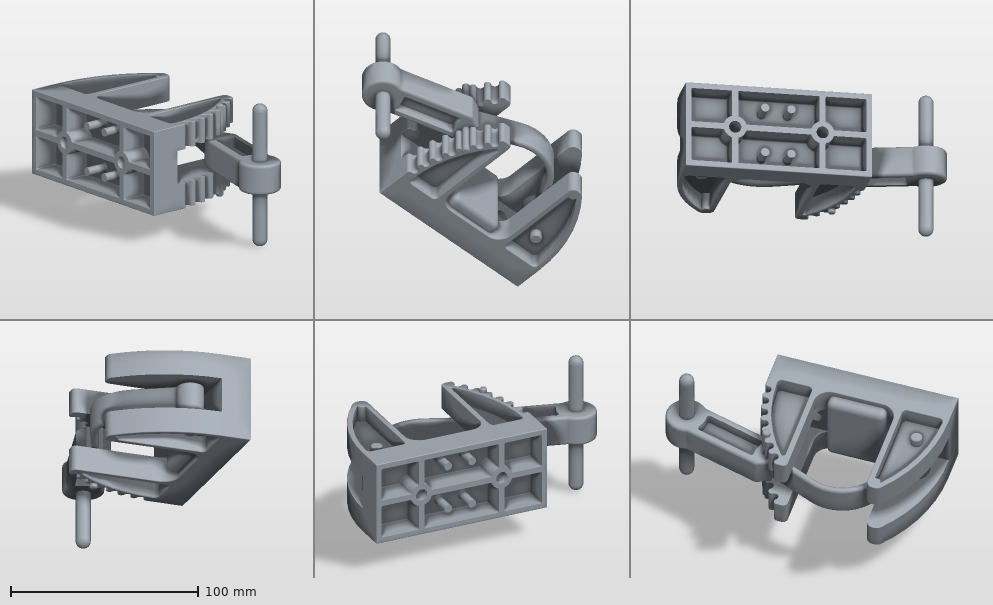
import cadquery as cq
import math

LENGTH = 101.2
HALF_WIDTH = 23.5
HEIGHT = 73.5
BASE_TOP = 16.5
GAP_HALF = 9.6
EDGE_ROUND = 0.5

CRADLE_LEFT = 28.8
CRADLE_RIGHT = 73.0
CRADLE_CORNER = 8.5
JAW_RADIUS = 83.7
JAW_ARC_Y = 17.1
LEFT_ARC_X = JAW_RADIUS
RIGHT_ARC_X = LENGTH - JAW_RADIUS
LEFT_TIP_OUTER_ROUND = 4.5
LEFT_TIP_INNER_ROUND = 3.7
RIGHT_TIP_ROUND = 2.7
JAW_POCKET_FLOOR = 14.4
JAW_WALL = 3.1
POCKET_TOP = 66.5
POCKET_CORNER = 2.4
RIGHT_POCKET_TOP_CORNER = 1.2
LEFT_POCKET_PEAK = 69.0
TIP_UNDERSIDE_ROUND = 2.2
LEFT_POCKET_RADIUS = 80.7
RIGHT_POCKET_RADIUS = 78.0

NOTCH_COUNT = 7
NOTCH_RADIUS = 2.1
NOTCH_STEP = 5.57
PITCH_RADIUS = 81.9
PITCH_CHORD = 2 * PITCH_RADIUS * math.sin(math.radians(NOTCH_STEP / 4))
TOOTH_RADIUS = PITCH_CHORD - NOTCH_RADIUS
TOP_TOOTH_ANGLE = math.degrees(math.asin((HEIGHT - TOOTH_RADIUS - JAW_ARC_Y) / PITCH_RADIUS))
TOP_NOTCH_ANGLE = TOP_TOOTH_ANGLE - NOTCH_STEP / 2
PIN_NOTCH = 2

CELL_WALL = 3.1
CELL_DEPTH = 14.1
CELL_ROUND = 0.6
RIB = 3.3
SCREW_SPACING = 47.5
SCREW_BOSS_RADIUS = 6.3
SCREW_HOLE_RADIUS = 3.3
PEG_SPACING_X = 14.2
PEG_HALF_SPACING_Z = 12.6
PEG_RADIUS = 2.2
PEG_END_Y = 1.8

PAD_LENGTH = 32.5
PAD_HALF_WIDTH = 20.4
PAD_HEIGHT = 6.6
PAD_ROUND = 3.1

STRAP_HALF_WIDTH = 8.2
STRAP_THICKNESS = 3.9
STRAP_ROUND = 1.6
ARCH_X = 51.1
ARCH_Y = 43.3
ARCH_RADIUS = 25.0
STRAP_END_DROP = 0.9
HUB_RADIUS = 7.5
HUB_BLEND = 2.2
HANDLE_HALF = 9.5
HANDLE_END_RADIUS = 11.2
HANDLE_NECK_BLEND = 3.0
SHOULDER_ALONG = 1.0
SHOULDER_BLEND = 2.4
TAPER_ALONG = -5.4
TAPER_HALF = 4.3
HANDLE_POCKET_START = 5.0
HANDLE_POCKET_END = 40.8
HANDLE_POCKET_HALF = 5.7
HANDLE_POCKET_BULGE = 1.0
HANDLE_POCKET_CORNER = 1.3
HANDLE_POCKET_DEPTH = 6.0

PIVOT_X = 14.2
PIVOT_Y = 29.2
PIVOT_RADIUS = 3.1
PIVOT_HALF = 19.3
PIVOT_CHAMFER = 0.5
LATCH_HALF = 25.6
LATCH_CHAMFER = 0.6
GRIP_X = 150 - HANDLE_END_RADIUS
GRIP_Y = 42.5
GRIP_RADIUS = 4.0
GRIP_HALF = 39.67
GRIP_DOME = 3.9


def polar(center_x, center_y, radius, angle):
    """Point at an angle in degrees on a circle."""
    a = math.radians(angle)
    return (center_x + radius * math.cos(a), center_y + radius * math.sin(a))


def rack_point(radius, angle):
    return polar(RIGHT_ARC_X, JAW_ARC_Y, radius, angle)


LATCH_X, LATCH_Y = rack_point(PITCH_RADIUS, TOP_NOTCH_ANGLE - PIN_NOTCH * NOTCH_STEP)
STRAP_END_Y = LATCH_Y - STRAP_END_DROP
SCREW_XS = [LENGTH / 2 - SCREW_SPACING / 2, LENGTH / 2 + SCREW_SPACING / 2]


def cylinder(x, y, radius, half_length):
    """Cylinder along Z, centred on the middle plane."""
    return cq.Workplane("XY").center(x, y).circle(radius).extrude(half_length, both=True)


def cylinder_along_y(points_xz, radius, y_start, y_end):
    plane = cq.Plane(origin=(0, y_start, 0), xDir=(1, 0, 0), normal=(0, 1, 0))
    points = [(x, -z) for x, z in points_xz]
    return cq.Workplane(plane).pushPoints(points).circle(radius).extrude(y_end - y_start)


def left_arc_point(radius, y):
    rise = y - JAW_ARC_Y
    return (LEFT_ARC_X - math.sqrt(radius**2 - rise**2), y)


def right_arc_point(radius, y):
    rise = y - JAW_ARC_Y
    return (RIGHT_ARC_X + math.sqrt(radius**2 - rise**2), y)


def add_rack(sketch):
    """Continue an outline down the right jaw: notches and teeth are tangent arcs on one pitch circle."""
    half_step = NOTCH_STEP / 2
    share = TOOTH_RADIUS / (TOOTH_RADIUS + NOTCH_RADIUS)
    for i in range(NOTCH_COUNT):
        angle = TOP_NOTCH_ANGLE - i * NOTCH_STEP
        notch_bottom = rack_point(PITCH_RADIUS - NOTCH_RADIUS, angle)
        notch = rack_point(PITCH_RADIUS, angle)
        ends = []
        for tooth_angle in (angle + half_step, angle - half_step):
            tooth = rack_point(PITCH_RADIUS, tooth_angle)
            ends.append(tuple(t + (n - t) * share for t, n in zip(tooth, notch)))
        tip = rack_point(PITCH_RADIUS + TOOTH_RADIUS, angle + half_step)
        sketch = sketch.threePointArc(tip, ends[0])
        sketch = sketch.threePointArc(notch_bottom, ends[1])
    return sketch


def housing_outline():
    top_tooth = rack_point(PITCH_RADIUS, TOP_TOOTH_ANGLE)
    last_tooth = rack_point(PITCH_RADIUS, TOP_NOTCH_ANGLE - (NOTCH_COUNT - 0.5) * NOTCH_STEP)
    last_tooth_tip = polar(*last_tooth, TOOTH_RADIUS, 45)
    sketch = (
        cq.Workplane("XY")
        .moveTo(0, 0)
        .lineTo(0, JAW_ARC_Y)
        .threePointArc(left_arc_point(JAW_RADIUS, HEIGHT / 2), left_arc_point(JAW_RADIUS, HEIGHT))
        .lineTo(CRADLE_LEFT, HEIGHT)
        .lineTo(CRADLE_LEFT, BASE_TOP)
        .lineTo(CRADLE_RIGHT, BASE_TOP)
        .lineTo(CRADLE_RIGHT, HEIGHT)
        .lineTo(top_tooth[0], HEIGHT)
    )
    sketch = add_rack(sketch)
    return (
        sketch.threePointArc(last_tooth_tip, polar(*last_tooth, TOOTH_RADIUS, 0))
        .lineTo(LENGTH, BASE_TOP)
        .lineTo(LENGTH, 0)
        .close()
    )


def upright_edges(body, x, y):
    """Edges along Z that pass near a point."""
    reach = 0.3
    box = cq.selectors.BoxSelector((x - reach, y - reach, -150), (x + reach, y + reach, 150))
    return body.edges("|Z").edges(box)


def housing_block():
    body = housing_outline().extrude(HALF_WIDTH, both=True)
    rounds = [
        (left_arc_point(JAW_RADIUS, HEIGHT), LEFT_TIP_OUTER_ROUND),
        ((CRADLE_LEFT, HEIGHT), LEFT_TIP_INNER_ROUND),
        ((CRADLE_LEFT, BASE_TOP), CRADLE_CORNER),
        ((CRADLE_RIGHT, BASE_TOP), CRADLE_CORNER),
        ((CRADLE_RIGHT, HEIGHT), RIGHT_TIP_ROUND),
    ]
    for (x, y), radius in rounds:
        body = upright_edges(body, x, y).fillet(radius)
    return body


def left_jaw_pocket():
    right = CRADLE_LEFT - JAW_WALL
    low = left_arc_point(LEFT_POCKET_RADIUS, BASE_TOP)
    middle = left_arc_point(LEFT_POCKET_RADIUS, HEIGHT / 2)
    peak = left_arc_point(LEFT_POCKET_RADIUS, LEFT_POCKET_PEAK)
    round_end = (peak[0] + TIP_UNDERSIDE_ROUND, POCKET_TOP)
    pocket = (
        cq.Workplane("XY", origin=(0, 0, JAW_POCKET_FLOOR))
        .moveTo(*low)
        .threePointArc(middle, peak)
        .radiusArc(round_end, -TIP_UNDERSIDE_ROUND)
        .lineTo(right, POCKET_TOP)
        .lineTo(right, BASE_TOP)
        .close()
        .extrude(HALF_WIDTH)
    )
    return pocket.edges("|Z and <Y").fillet(POCKET_CORNER)


def right_jaw_pocket():
    left = CRADLE_RIGHT + JAW_WALL
    low = right_arc_point(RIGHT_POCKET_RADIUS, BASE_TOP)
    middle = right_arc_point(RIGHT_POCKET_RADIUS, HEIGHT / 2)
    high = right_arc_point(RIGHT_POCKET_RADIUS, POCKET_TOP)
    pocket = (
        cq.Workplane("XY", origin=(0, 0, JAW_POCKET_FLOOR))
        .moveTo(left, BASE_TOP)
        .lineTo(left, POCKET_TOP)
        .lineTo(*high)
        .threePointArc(middle, low)
        .close()
        .extrude(HALF_WIDTH)
    )
    pocket = upright_edges(pocket, left, POCKET_TOP).fillet(RIGHT_POCKET_TOP_CORNER)
    return pocket.edges("|Z and <Y").fillet(POCKET_CORNER)


def peg_points():
    xs = [LENGTH / 2 - PEG_SPACING_X / 2, LENGTH / 2 + PEG_SPACING_X / 2]
    return [(x, z) for x in xs for z in (-PEG_HALF_SPACING_Z, PEG_HALF_SPACING_Z)]


def base_cells():
    """Six cells open at the underside, left between the outer walls, the ribs and the screw bosses."""
    cells = cq.Workplane("XY").box(
        LENGTH - 2 * CELL_WALL, CELL_DEPTH, 2 * (HALF_WIDTH - CELL_WALL)
    ).translate((LENGTH / 2, CELL_DEPTH / 2, 0))
    ribs = cq.Workplane("XY").box(LENGTH, HEIGHT, RIB).translate((LENGTH / 2, 0, 0))
    for x in SCREW_XS:
        ribs = ribs.union(cq.Workplane("XY").box(RIB, HEIGHT, 2 * HALF_WIDTH).translate((x, 0, 0)))
    bosses = cylinder_along_y([(x, 0) for x in SCREW_XS], SCREW_BOSS_RADIUS, 0, HEIGHT)
    cells = cells.cut(ribs).cut(bosses)
    cells = cells.edges("|Y").fillet(CELL_ROUND)
    cells = cells.cut(cylinder_along_y(peg_points(), PEG_RADIUS, 0, HEIGHT))
    return cells.faces(">Y").edges().fillet(CELL_ROUND)


def make_housing():
    body = housing_block()
    for pocket in (left_jaw_pocket(), right_jaw_pocket()):
        body = body.cut(pocket).cut(pocket.mirror("XY"))
    for side in (">Z", "<Z"):
        body = body.faces(side).edges().fillet(EDGE_ROUND)
    gap = cq.Workplane("XY").box(LENGTH, HEIGHT, 2 * GAP_HALF)
    body = body.cut(gap.translate((LENGTH / 2, BASE_TOP + HEIGHT / 2, 0)))
    body = body.cut(base_cells())
    body = body.cut(cylinder_along_y([(x, 0) for x in SCREW_XS], SCREW_HOLE_RADIUS, 0, HEIGHT))
    body = body.cut(cylinder_along_y(peg_points(), PEG_RADIUS, 0, PEG_END_Y))
    return body.cut(cylinder(PIVOT_X, PIVOT_Y, PIVOT_RADIUS, PIVOT_HALF))


def make_pad():
    block = cq.Workplane("XY").box(PAD_LENGTH, PAD_HEIGHT, 2 * PAD_HALF_WIDTH)
    block = block.translate((LENGTH / 2, BASE_TOP + PAD_HEIGHT / 2, 0))
    block = block.edges("|Y").fillet(PAD_ROUND)
    return block.faces(">Y").edges().fillet(PAD_ROUND)


def tangent_angle(x, y, side):
    """Angle on the arch circle where the line from a point touches it."""
    distance = math.hypot(x - ARCH_X, y - ARCH_Y)
    toward = math.degrees(math.atan2(y - ARCH_Y, x - ARCH_X))
    return toward + side * math.degrees(math.acos(ARCH_RADIUS / distance))


def strap_band():
    """Constant-thickness band: straight from the pivot, round the arch, straight to the latch pin."""
    start = tangent_angle(PIVOT_X, PIVOT_Y, -1)
    end = tangent_angle(LATCH_X, STRAP_END_Y, 1)
    start = start % 360
    middle = (start + end) / 2
    half = STRAP_THICKNESS / 2
    outer = ARCH_RADIUS + half
    inner = ARCH_RADIUS - half
    return (
        cq.Workplane("XY")
        .moveTo(*polar(PIVOT_X, PIVOT_Y, half, start))
        .lineTo(*polar(ARCH_X, ARCH_Y, outer, start))
        .threePointArc(polar(ARCH_X, ARCH_Y, outer, middle), polar(ARCH_X, ARCH_Y, outer, end))
        .lineTo(*polar(LATCH_X, STRAP_END_Y, half, end))
        .lineTo(*polar(LATCH_X, STRAP_END_Y, -half, end))
        .lineTo(*polar(ARCH_X, ARCH_Y, inner, end))
        .threePointArc(polar(ARCH_X, ARCH_Y, inner, middle), polar(ARCH_X, ARCH_Y, inner, start))
        .lineTo(*polar(PIVOT_X, PIVOT_Y, -half, start))
        .close()
        .extrude(STRAP_HALF_WIDTH)
    )


def handle_plane(z):
    """Plane at the latch pin whose local X runs along the handle to the grip pin."""
    along = (GRIP_X - LATCH_X, GRIP_Y - LATCH_Y, 0)
    return cq.Plane(origin=(LATCH_X, LATCH_Y, z), xDir=along, normal=(0, 0, 1))


def handle_block():
    reach = math.hypot(GRIP_X - LATCH_X, GRIP_Y - LATCH_Y)
    block = (
        cq.Workplane(handle_plane(0))
        .moveTo(TAPER_ALONG, -TAPER_HALF)
        .lineTo(SHOULDER_ALONG, -HANDLE_HALF)
        .lineTo(reach, -HANDLE_HALF)
        .lineTo(reach, HANDLE_HALF)
        .lineTo(SHOULDER_ALONG, HANDLE_HALF)
        .lineTo(TAPER_ALONG, TAPER_HALF)
        .close()
        .extrude(STRAP_HALF_WIDTH)
    )
    end = cq.Workplane("XY").center(GRIP_X, GRIP_Y).circle(HANDLE_END_RADIUS).extrude(STRAP_HALF_WIDTH)
    neck = reach - math.sqrt(HANDLE_END_RADIUS**2 - HANDLE_HALF**2)
    block = block.union(end)
    for along, radius in ((SHOULDER_ALONG, SHOULDER_BLEND), (neck, HANDLE_NECK_BLEND)):
        for side in (-1, 1):
            point = handle_plane(0).toWorldCoords((along, side * HANDLE_HALF, 0))
            block = upright_edges(block, point.x, point.y).fillet(radius)
    return block


def handle_pocket():
    tip_half = HANDLE_POCKET_HALF
    pocket = (
        cq.Workplane(handle_plane(STRAP_HALF_WIDTH - HANDLE_POCKET_DEPTH))
        .moveTo(HANDLE_POCKET_START, -tip_half)
        .lineTo(HANDLE_POCKET_END, -tip_half)
        .threePointArc((HANDLE_POCKET_END - HANDLE_POCKET_BULGE, 0), (HANDLE_POCKET_END, tip_half))
        .lineTo(HANDLE_POCKET_START, tip_half)
        .threePointArc((HANDLE_POCKET_START + HANDLE_POCKET_BULGE, 0), (HANDLE_POCKET_START, -tip_half))
        .close()
        .extrude(HANDLE_POCKET_DEPTH)
    )
    return pocket.edges("|Z").fillet(HANDLE_POCKET_CORNER)


def make_strap_half():
    """Half of the strap above the middle plane."""
    hub = cq.Workplane("XY").center(PIVOT_X, PIVOT_Y).circle(HUB_RADIUS).extrude(STRAP_HALF_WIDTH)
    body = strap_band().union(hub)
    start = tangent_angle(PIVOT_X, PIVOT_Y, -1)
    half = STRAP_THICKNESS / 2
    along = math.sqrt(HUB_RADIUS**2 - half**2)
    for side in (-1, 1):
        x, y = polar(PIVOT_X, PIVOT_Y, side * half, start)
        x, y = polar(x, y, along, start - 90)
        body = upright_edges(body, x, y).fillet(HUB_BLEND)
    body = body.union(handle_block())
    body = body.faces(">Z").edges().fillet(STRAP_ROUND)
    body = body.cut(handle_pocket())
    body = body.cut(cylinder(PIVOT_X, PIVOT_Y, PIVOT_RADIUS, HEIGHT))
    body = body.cut(cylinder(LATCH_X, LATCH_Y, NOTCH_RADIUS, HEIGHT))
    return body.cut(cylinder(GRIP_X, GRIP_Y, GRIP_RADIUS, HEIGHT))


def make_pivot_pin():
    pin = cylinder(PIVOT_X, PIVOT_Y, PIVOT_RADIUS, PIVOT_HALF)
    return pin.faces("<Z or >Z").edges().chamfer(PIVOT_CHAMFER)


def make_latch_pin():
    pin = cylinder(LATCH_X, LATCH_Y, NOTCH_RADIUS, LATCH_HALF)
    return pin.faces("<Z or >Z").edges().chamfer(LATCH_CHAMFER)


def make_grip_pin():
    pin = cylinder(GRIP_X, GRIP_Y, GRIP_RADIUS, GRIP_HALF)
    return pin.faces("<Z or >Z").edges().fillet(GRIP_DOME)


housing = make_housing()
pad = make_pad()
upper_strap_half = make_strap_half()
lower_strap_half = upper_strap_half.mirror("XY")
pivot_pin = make_pivot_pin()
latch_pin = make_latch_pin()
grip_pin = make_grip_pin()

result = cq.Compound.makeCompound(
    [
        housing.val(),
        pad.val(),
        upper_strap_half.val(),
        lower_strap_half.val(),
        pivot_pin.val(),
        latch_pin.val(),
        grip_pin.val(),
    ]
)